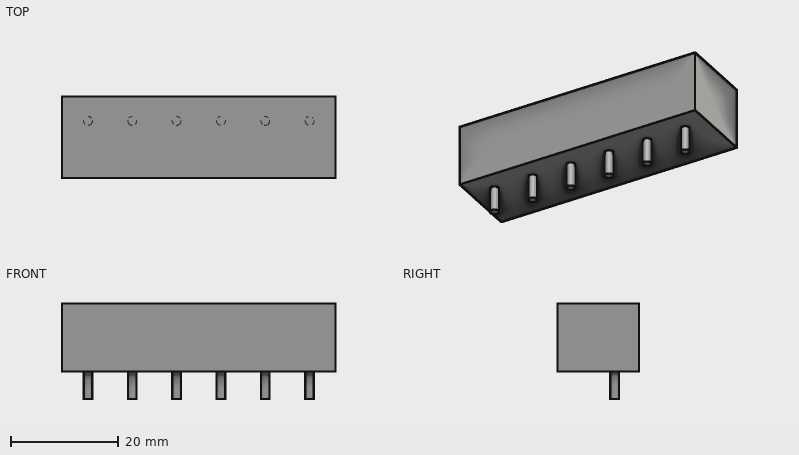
import cadquery as cq

housing_length = 50.93
housing_width = 15.24
total_height = 17.8
pin_length = 5.1
housing_height = total_height - pin_length

pin_diameter = 1.65
pin_count = 6
pin_pitch = 8.25
pin_row_y = 3.05


def make_housing():
    """Plain rectangular block, centred in X and Y, with its underside at Z = 0."""
    return cq.Workplane("XY").box(
        housing_length, housing_width, housing_height, centered=(True, True, False)
    )


def make_pin(x):
    """Round pin hanging down from the housing underside."""
    return cq.Workplane("XY").center(x, pin_row_y).circle(pin_diameter / 2).extrude(-pin_length)


housing = make_housing()

first_pin_x = -pin_pitch * (pin_count - 1) / 2
pins = [make_pin(first_pin_x + i * pin_pitch) for i in range(pin_count)]

result = cq.Compound.makeCompound([housing.val(), *[pin.val() for pin in pins]])